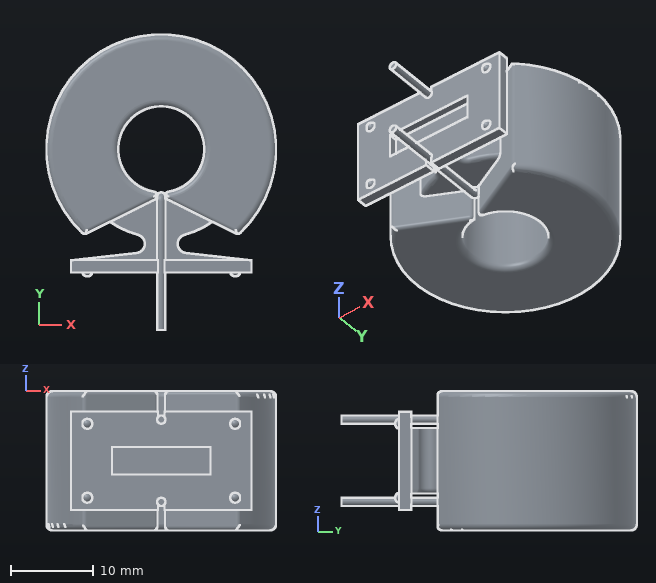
import cadquery as cq
import math

ring_radius = 14.0
ring_height = 17.0
bore_radius = 5.22
rim_round = 0.8
gap_round = 0.5
gap_wall_tilt = math.radians(26.5)

total_length = 36.0
wire_radius = 0.5
wire_spacing = 10.0
wire_upright_y = -5.72
wire_bend_radius = 0.58
wire_tip_y = ring_radius - total_length

plate_width = 22.0
plate_height = 12.0
plate_thickness = 1.5
plate_back_y = -13.5
plate_front_y = plate_back_y - plate_thickness
plate_middle_y = plate_back_y - plate_thickness / 2
slot_width = 0.75
window_width = 12.02
window_height = 3.4
window_depth = 1.2

bump_pitch_x = 18.0
bump_pitch_z = 9.0
bump_radius = 0.6
bump_height = 0.45

bracket_height = 8.0
bracket_head_radius = 10.8
neck_half_width = 2.0
neck_round = 1.1
bracket_bottom_round = 0.6


def wall_point(radius, inset=0.0):
    """Point at a radius from the ring axis on the right gap wall, or on a line inset into the ring."""
    along_x, along_y = math.cos(gap_wall_tilt), -math.sin(gap_wall_tilt)
    start_x = -inset * along_y
    start_y = wire_upright_y + inset * along_x
    half_b = start_x * along_x + start_y * along_y
    step = -half_b + math.sqrt(half_b**2 + radius**2 - start_x**2 - start_y**2)
    return start_x + step * along_x, start_y + step * along_y


def at_radius(point, radius):
    """Point in the same direction from the ring axis, moved to the given radius."""
    scale = radius / math.hypot(*point)
    return point[0] * scale, point[1] * scale


def moved(point, distance, angle):
    """Point moved by a distance in the direction of an angle."""
    return point[0] + distance * math.cos(angle), point[1] + distance * math.sin(angle)


def mirrored(point):
    """Point reflected to the other side of the part."""
    return -point[0], point[1]


def make_ring():
    """Horseshoe with rounded gap corners, its outer and bore rims rounded more than the gap edges."""
    outer_round = wall_point(ring_radius - gap_round, gap_round)
    inner_round = wall_point(bore_radius + gap_round, gap_round)
    facing_gap = -math.pi / 2 - gap_wall_tilt

    outer_start = at_radius(outer_round, ring_radius)
    outer_radial = math.atan2(outer_start[1], outer_start[0])
    outer_mid = moved(outer_round, gap_round, (outer_radial + facing_gap) / 2)
    outer_end = moved(outer_round, gap_round, facing_gap)

    inner_start = moved(inner_round, gap_round, facing_gap)
    inner_end = at_radius(inner_round, bore_radius)
    facing_axis = math.atan2(-inner_end[1], -inner_end[0]) - 2 * math.pi
    inner_mid = moved(inner_round, gap_round, (facing_gap + facing_axis) / 2)

    horseshoe = (
        cq.Workplane("XY")
        .moveTo(*mirrored(outer_start))
        .threePointArc((0, ring_radius), outer_start)
        .threePointArc(outer_mid, outer_end)
        .lineTo(*inner_start)
        .threePointArc(inner_mid, inner_end)
        .threePointArc((0, bore_radius), mirrored(inner_end))
        .threePointArc(mirrored(inner_mid), mirrored(inner_start))
        .lineTo(*mirrored(outer_end))
        .threePointArc(mirrored(outer_mid), mirrored(outer_start))
        .close()
        .extrude(ring_height / 2, both=True)
        .faces("<Z or >Z")
        .edges()
        .fillet(gap_round)
    )
    rounded_ring = (
        cq.Workplane("XY")
        .circle(ring_radius)
        .circle(bore_radius)
        .extrude(ring_height / 2, both=True)
        .faces("<Z or >Z")
        .edges()
        .fillet(rim_round)
    )
    return horseshoe.intersect(rounded_ring)


def make_bracket():
    """Arc-ended head set in the gap, narrow neck, and a foot that tapers out over the plate."""
    head_tip = wall_point(bracket_head_radius)
    foot_tip = (plate_width / 2, plate_back_y)
    buried_corner = (plate_width / 2, plate_middle_y)

    hollow_x = neck_half_width + neck_round
    hollow = (hollow_x, -math.sqrt((bracket_head_radius + neck_round) ** 2 - hollow_x**2))
    hollow_start = at_radius(hollow, bracket_head_radius)
    hollow_middle = (neck_half_width, hollow[1])
    to_hollow = math.atan2(hollow[1] - foot_tip[1], hollow[0] - foot_tip[0])
    foot_slope = to_hollow + math.asin(neck_round / math.dist(hollow, foot_tip))
    hollow_end = moved(hollow, neck_round, foot_slope + math.pi / 2)
    head_middle = at_radius(
        (head_tip[0] + hollow_start[0], head_tip[1] + hollow_start[1]), bracket_head_radius
    )

    body = (
        cq.Workplane("XY")
        .moveTo(0, wire_upright_y)
        .lineTo(*head_tip)
        .threePointArc(head_middle, hollow_start)
        .threePointArc(hollow_middle, hollow_end)
        .lineTo(*foot_tip)
        .lineTo(*buried_corner)
        .lineTo(*mirrored(buried_corner))
        .lineTo(*mirrored(foot_tip))
        .lineTo(*mirrored(hollow_end))
        .threePointArc(mirrored(hollow_middle), mirrored(hollow_start))
        .threePointArc(mirrored(head_middle), mirrored(head_tip))
        .close()
        .extrude(bracket_height / 2, both=True)
    )
    return body.faces("<Z").edges("%CIRCLE").fillet(bracket_bottom_round)


def make_plate():
    plate = cq.Workplane("XY").box(plate_width, plate_thickness, plate_height)
    return plate.translate((0, plate_middle_y, 0))


def cut_slots_and_window(body):
    """Slots run from the plate edges to the wire legs; the window is a blind pocket."""
    slot_depth = (plate_height - wire_spacing) / 2
    for side in (-1, 1):
        slot = cq.Workplane("XY").box(slot_width, plate_thickness, slot_depth)
        slot_z = side * (plate_height - slot_depth) / 2
        body = body.cut(slot.translate((0, plate_middle_y, slot_z)))
    window = cq.Workplane("XY").box(window_width, window_depth, window_height)
    return body.cut(window.translate((0, plate_front_y + window_depth / 2, 0)))


def make_bumps():
    """Spherical caps whose base circle lies on the plate front."""
    sphere_radius = (bump_radius**2 + bump_height**2) / (2 * bump_height)
    centre_y = plate_front_y - bump_height + sphere_radius
    return (
        cq.Workplane("XZ", origin=(0, centre_y, 0))
        .rarray(bump_pitch_x, bump_pitch_z, 2, 2)
        .sphere(sphere_radius)
    )


def make_wire():
    """Round wire swept along a staple-shaped path."""
    leg_z = wire_spacing / 2
    bend_y = wire_upright_y - wire_bend_radius
    bend_z = leg_z - wire_bend_radius
    diagonal = wire_bend_radius * math.sqrt(0.5)
    path = (
        cq.Workplane("YZ")
        .moveTo(wire_tip_y, leg_z)
        .lineTo(bend_y, leg_z)
        .threePointArc((bend_y + diagonal, bend_z + diagonal), (wire_upright_y, bend_z))
        .lineTo(wire_upright_y, -bend_z)
        .threePointArc((bend_y + diagonal, -bend_z - diagonal), (bend_y, -leg_z))
        .lineTo(wire_tip_y, -leg_z)
    )
    start = cq.Workplane("XZ", origin=(0, wire_tip_y, leg_z))
    return start.circle(wire_radius).sweep(path)


support = cut_slots_and_window(make_bracket().union(make_plate()))
result = make_ring().union(support).union(make_bumps()).union(make_wire())